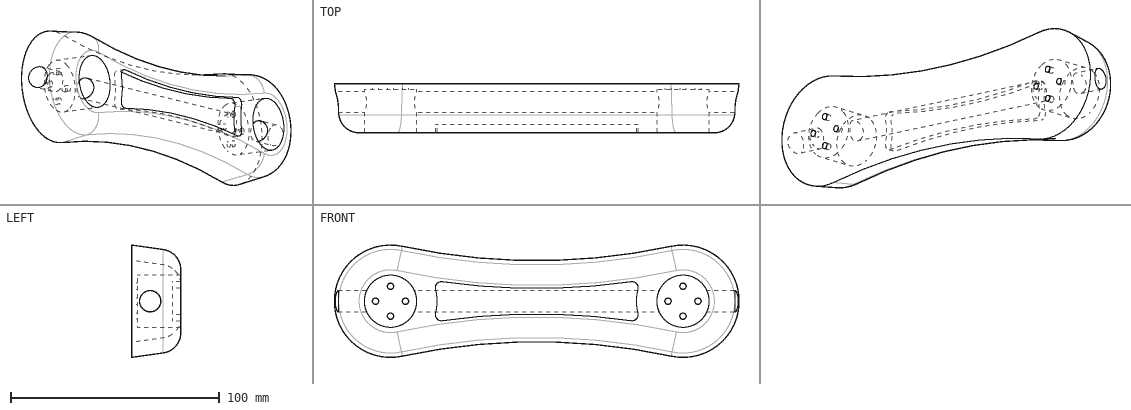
import cadquery as cq
import math

length = 194.0
end_width = 54.0
waist_width = 39.0
thickness = 23.7
draft_angle = 8.0
edge_radius = 9.9

bore_diameter = 25.0
bore_floor = 3.0
screw_hole_diameter = 3.0
screw_circle_radius = 7.2
screw_count = 4

cross_hole_diameter = 10.0
cross_hole_from_back = 9.0

pocket_waist_width = 12.2
pocket_end_clearance = 22.3
pocket_depth = 4.0
pocket_corner_radius = 3.0

end_radius = end_width / 2
end_center = length / 2 - end_radius
waist_half = waist_width / 2
back_y = thickness / 2
front_y = -back_y

side_radius = (end_center**2 + waist_half**2 - end_radius**2) / (2 * (end_radius - waist_half))
side_center_z = waist_half + side_radius
tangent_fraction = end_radius / (end_radius + side_radius)
tangent_x = end_center * (1 - tangent_fraction)
tangent_z = side_center_z * tangent_fraction


def make_body():
    """Dog-bone bar drafted from the back, with a rounded front edge."""
    outline = (
        cq.Workplane("XZ", origin=(0, back_y, 0))
        .moveTo(-tangent_x, tangent_z)
        .threePointArc((0, waist_half), (tangent_x, tangent_z))
        .threePointArc((length / 2, 0), (tangent_x, -tangent_z))
        .threePointArc((0, -waist_half), (-tangent_x, -tangent_z))
        .threePointArc((-length / 2, 0), (-tangent_x, tangent_z))
        .close()
    )
    drafted = outline.extrude(thickness, taper=draft_angle)
    return drafted.faces("<Y").edges().fillet(edge_radius)


def make_pocket():
    """Pocket following the side arcs, with ends concentric to the bores."""
    half_waist = pocket_waist_width / 2
    arc_radius = side_center_z - half_waist
    center_distance = math.hypot(end_center, side_center_z)
    along = (center_distance**2 + pocket_end_clearance**2 - arc_radius**2) / (2 * center_distance)
    across = math.sqrt(pocket_end_clearance**2 - along**2)
    corner_x = end_center - (along * end_center + across * side_center_z) / center_distance
    corner_z = (along * side_center_z - across * end_center) / center_distance
    end_x = end_center - pocket_end_clearance
    return (
        cq.Workplane("XZ", origin=(0, front_y + pocket_depth, 0))
        .moveTo(-corner_x, corner_z)
        .threePointArc((0, half_waist), (corner_x, corner_z))
        .threePointArc((end_x, 0), (corner_x, -corner_z))
        .threePointArc((0, -half_waist), (-corner_x, -corner_z))
        .threePointArc((-end_x, 0), (-corner_x, corner_z))
        .close()
        .extrude(pocket_depth)
        .edges("|Y")
        .fillet(pocket_corner_radius)
    )


def make_end_holes(center_x):
    """Blind bore from the front, with a ring of screw holes through its floor."""
    back_plane = cq.Workplane("XZ", origin=(center_x, back_y, 0))
    bore = back_plane.workplane(offset=bore_floor).circle(bore_diameter / 2).extrude(thickness)
    screw_holes = (
        back_plane.polarArray(screw_circle_radius, 0, 360, screw_count)
        .circle(screw_hole_diameter / 2)
        .extrude(thickness)
    )
    return bore.union(screw_holes)


def make_cross_hole():
    """Hole along the whole length, linking both bores."""
    return (
        cq.Workplane("YZ", origin=(-length / 2, back_y - cross_hole_from_back, 0))
        .circle(cross_hole_diameter / 2)
        .extrude(length)
    )


result = make_body().cut(make_pocket()).cut(make_cross_hole())
for center_x in (-end_center, end_center):
    result = result.cut(make_end_holes(center_x))